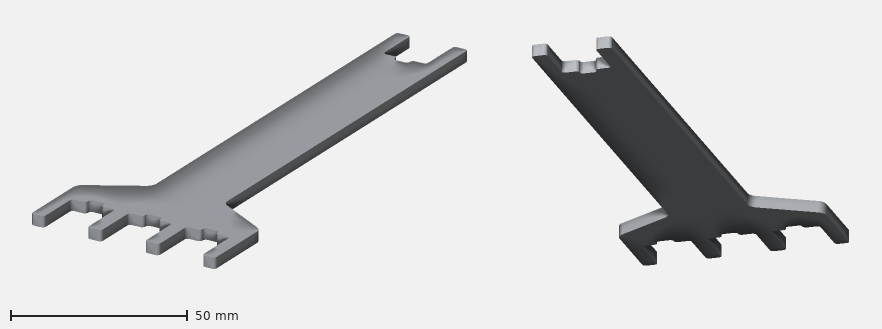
import cadquery as cq
import math

length = 166.0
width = 61.3
thickness = 3.5

slot_pitch = 19.1
slot_width = 14.5
slot_depth = 15.0
notch_width = 5.0
notch_depth = 2.2

prong_width = slot_pitch - slot_width
handle_width = slot_width + 2 * prong_width
head_height = 35.2
shoulder_angle = 30.0
shoulder_drop = (width - handle_width) / 2 * math.tan(math.radians(shoulder_angle))

corner_radius = 1.0
shoulder_radius = 3.3

bottom = -length / 2
top = length / 2
neck_y = bottom + head_height
shoulder_y = neck_y - shoulder_drop
edge_tolerance = 0.02


def at_corners(x, y):
    """Select the vertical edges at +x and -x, at height y along the handle."""
    boxes = [
        cq.selectors.BoxSelector(
            (side * x - edge_tolerance, y - edge_tolerance, -thickness),
            (side * x + edge_tolerance, y + edge_tolerance, thickness),
        )
        for side in (-1, 1)
    ]
    return boxes[0] + boxes[1]


def make_blank():
    """Handle with a wider head, before the slots are cut."""
    right_side = [
        (width / 2, bottom),
        (width / 2, shoulder_y),
        (handle_width / 2, neck_y),
        (handle_width / 2, top),
    ]
    left_side = [(-x, y) for x, y in reversed(right_side)]
    return (
        cq.Workplane("XY")
        .polyline(right_side + left_side)
        .close()
        .extrude(thickness / 2, both=True)
    )


def make_slot(center_x, end_y, inward):
    """Slot open at end_y, with a small notch in the middle of its floor."""
    slot = cq.Workplane("XY").box(slot_width, 2 * slot_depth, thickness)
    notch_reach = slot_depth + notch_depth
    notch = (
        cq.Workplane("XY")
        .box(notch_width, notch_reach, thickness)
        .translate((0, inward * notch_reach / 2, 0))
    )
    return slot.union(notch).translate((center_x, end_y, 0))


plate = make_blank()
for column in (-1, 0, 1):
    plate = plate.cut(make_slot(column * slot_pitch, bottom, 1))
plate = plate.cut(make_slot(0, top, -1))

shoulders = at_corners(width / 2, shoulder_y) + at_corners(handle_width / 2, neck_y)
upright_edges = cq.selectors.ParallelDirSelector(cq.Vector(0, 0, 1))
plate = plate.edges(upright_edges - shoulders).fillet(corner_radius)
result = plate.edges(shoulders).fillet(shoulder_radius)